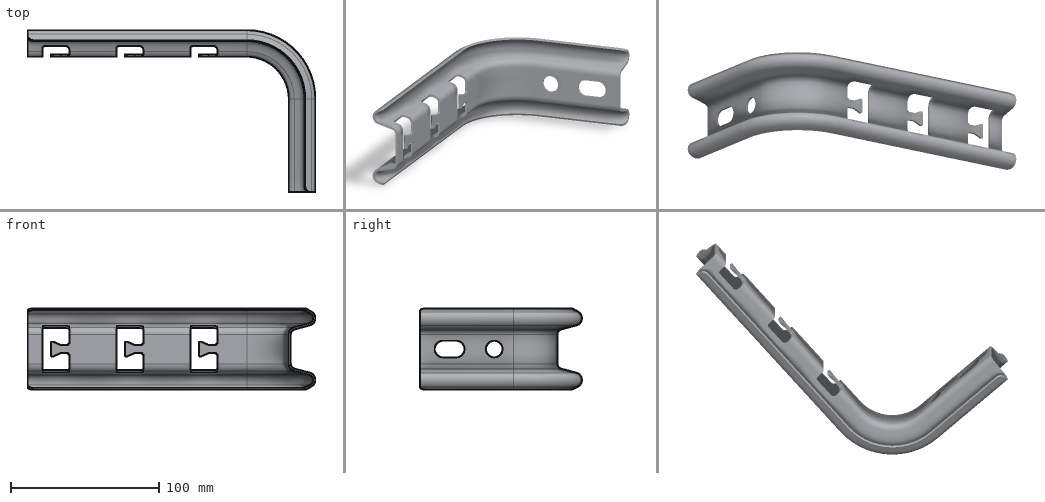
import cadquery as cq
import math


length = 194.5
drop = 109.5
height = 55.0
outer_bend_radius = 46.5

thickness = 1.5
section_depth = 18.0
web_flat_width = 20.0
web_bend_radius = 4.9
curl_radius = 3.5
wall_angle = math.radians(75)
lip_angle = math.radians(62)
lip_corner_radius = 3.9

slot_count = 3
slot_pitch = 50.0
slot_start = 10.1
slot_width = 18.0
slot_depth = 7.2
slot_near_radius = 1.5
slot_far_radius = 2.5

tongue_tip = 5.6
tongue_tip_end = 7.2
tongue_neck_start = 12.3
tongue_tip_width = 10.1
tongue_neck_width = 5.6
tongue_tip_radius = 0.8
tongue_root_radius = 1.0

hole_diameter = 11.0
round_hole_offset = 50.2
long_hole_offset = 20.0
long_hole_length = 20.0


def polar(center, radius, angle):
    """Point on a section arc; angle 0 points towards the lips and 90 degrees towards the rim."""
    return (
        center[0] + radius * math.cos(angle),
        center[1] + radius * math.sin(angle),
    )


web_y = -section_depth
curl_outer_radius = curl_radius + thickness
inner_bend_radius = web_bend_radius - thickness
bend_center = (web_y + web_bend_radius, web_flat_width / 2)
curl_center_y = -curl_outer_radius
turn_radii = web_bend_radius + curl_radius
wall_run = section_depth - thickness - turn_radii * (1 - math.cos(wall_angle))
curl_center_z = bend_center[1] + turn_radii * math.sin(wall_angle) + wall_run / math.tan(wall_angle)
curl_center = (curl_center_y, curl_center_z)
lip_rise = height / 2 - curl_center_z - curl_outer_radius * math.sin(lip_angle)
lip_length = lip_rise / math.cos(lip_angle)


def lip_end(radius):
    """Free end of the lip on the face that continues the curl arc of the given radius."""
    start = polar(curl_center, radius, lip_angle)
    return (
        start[0] - lip_length * math.sin(lip_angle),
        start[1] + lip_length * math.cos(lip_angle),
    )


def bend_point(radius, angle):
    return polar(bend_center, radius, math.pi - angle)


def half_section():
    """Upper half of the sheet section: web, wall, curl and slanted lip."""
    return (
        cq.Workplane("YZ")
        .moveTo(web_y, 0)
        .lineTo(*bend_point(web_bend_radius, 0))
        .threePointArc(
            bend_point(web_bend_radius, wall_angle / 2),
            bend_point(web_bend_radius, wall_angle),
        )
        .lineTo(*polar(curl_center, curl_radius, -wall_angle))
        .threePointArc(
            polar(curl_center, curl_radius, 0),
            polar(curl_center, curl_radius, lip_angle),
        )
        .lineTo(*lip_end(curl_radius))
        .lineTo(*lip_end(curl_outer_radius))
        .lineTo(*polar(curl_center, curl_outer_radius, lip_angle))
        .threePointArc(
            polar(curl_center, curl_outer_radius, 0),
            polar(curl_center, curl_outer_radius, -wall_angle),
        )
        .lineTo(*bend_point(inner_bend_radius, wall_angle))
        .threePointArc(
            bend_point(inner_bend_radius, wall_angle / 2),
            bend_point(inner_bend_radius, 0),
        )
        .lineTo(web_y + thickness, 0)
        .close()
    )


def bent_rail():
    """Half section swept along arm, bend and leg, then mirrored about Z = 0."""
    bend_start_x = length - outer_bend_radius
    diagonal = outer_bend_radius * math.sqrt(0.5)
    path = (
        cq.Workplane("XY")
        .lineTo(bend_start_x, 0)
        .threePointArc(
            (bend_start_x + diagonal, diagonal - outer_bend_radius),
            (length, -outer_bend_radius),
        )
        .lineTo(length, -drop)
    )
    upper_half = half_section().sweep(path)
    return upper_half.union(upper_half.mirror("XY")).clean()


def round_lip_corners(rail):
    """Round the free corners of both lips at the arm end and the leg end."""
    inner = lip_end(curl_radius)
    outer = lip_end(curl_outer_radius)
    corner_y = (inner[0] + outer[0]) / 2
    corner_z = (inner[1] + outer[1]) / 2
    for side in (-1, 1):
        for corner in ((0, corner_y, side * corner_z), (length + corner_y, -drop, side * corner_z)):
            edge = cq.selectors.NearestToPointSelector(corner)
            rail = rail.edges(edge).fillet(lip_corner_radius)
    return rail


def tongue():
    """Dovetail tongue with flared root, lying in the web at the first slot."""
    tip_x = slot_start + tongue_tip
    slot_end = slot_start + slot_width
    tip_z = tongue_tip_width / 2
    neck_z = tongue_neck_width / 2
    root_z = neck_z + tongue_root_radius
    root_x = slot_end - tongue_root_radius
    return (
        cq.Workplane("XZ", origin=(0, web_y + thickness, 0))
        .moveTo(tip_x, -tip_z)
        .lineTo(slot_start + tongue_tip_end, -tip_z)
        .lineTo(slot_start + tongue_neck_start, -neck_z)
        .lineTo(root_x, -neck_z)
        .radiusArc((slot_end, -root_z), -tongue_root_radius)
        .lineTo(slot_end, root_z)
        .radiusArc((root_x, neck_z), -tongue_root_radius)
        .lineTo(slot_start + tongue_neck_start, neck_z)
        .lineTo(slot_start + tongue_tip_end, tip_z)
        .lineTo(tip_x, tip_z)
        .close()
        .extrude(thickness)
        .edges("|Y and <X")
        .fillet(tongue_tip_radius)
    )


def hook_slot():
    """First slot: web and the adjoining part of each wall are removed, the tongue is left standing."""
    opening = (
        cq.Workplane("XY")
        .box(slot_width, slot_depth, height, centered=(False, False, True))
        .translate((slot_start, web_y, 0))
        .edges("|Z and >Y and <X")
        .fillet(slot_near_radius)
        .edges("|Z and >Y and >X")
        .fillet(slot_far_radius)
    )
    return opening.cut(tongue())


def leg_holes():
    """Round hole and long hole through the web of the leg."""
    plane = cq.Workplane("YZ", origin=(length - section_depth, -drop, 0))
    round_hole = plane.center(round_hole_offset, 0).circle(hole_diameter / 2).extrude(thickness)
    long_hole = plane.center(long_hole_offset, 0).slot2D(long_hole_length, hole_diameter).extrude(thickness)
    return round_hole.union(long_hole)


result = round_lip_corners(bent_rail())
for index in range(slot_count):
    result = result.cut(hook_slot().translate((index * slot_pitch, 0, 0)))
result = result.cut(leg_holes())